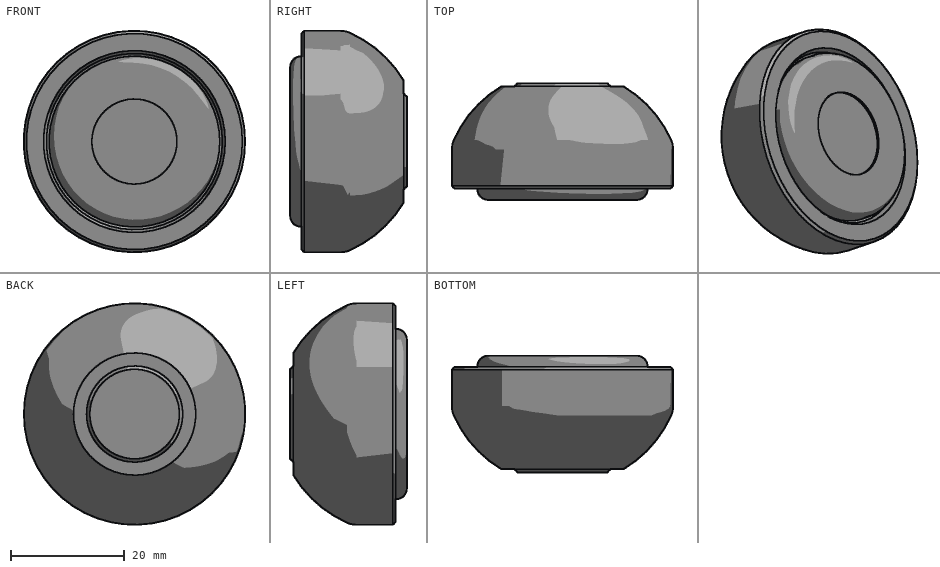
import cadquery as cq
import math


housing_radius = 19.5
housing_depth = 18.0
dome_radius = 21.0
shoulder_radius = 4.0
rim_chamfer = 0.5

pad_radius = 15.0
pad_protrusion = 2.0
pad_edge_radius = 2.0
dimple_radius = 7.5
dimple_depth = 0.4

recess_mouth_radius = 16.0
recess_taper = 0.5
recess_corner_radius = 0.45
recess_depth = 1.5

cap_radius = 8.45
cap_height = 0.6
cap_chamfer = 0.6


def revolve_profile(profile):
    """Turn a closed (radius, Y) profile a full circle about the Y axis."""
    return profile.close().revolve(360, (0, 0, 0), (0, 1, 0))


def make_housing():
    shoulder_centre_x = housing_radius - shoulder_radius
    centre_distance = dome_radius - shoulder_radius
    shoulder_angle = math.acos(shoulder_centre_x / centre_distance)
    shoulder_centre_y = centre_distance * math.sin(shoulder_angle)

    def shoulder_point(angle):
        return (
            shoulder_centre_x + shoulder_radius * math.cos(angle),
            shoulder_centre_y + shoulder_radius * math.sin(angle),
        )

    def dome_point(angle):
        return (dome_radius * math.cos(angle), dome_radius * math.sin(angle))

    flat_angle = math.asin(housing_depth / dome_radius)
    recess_wall_radius = recess_mouth_radius - recess_taper
    corner_start_radius = recess_wall_radius - recess_corner_radius
    corner_mid_offset = recess_corner_radius * (1 - math.sqrt(0.5))

    return revolve_profile(
        cq.Workplane("XY")
        .moveTo(0, recess_depth)
        .lineTo(corner_start_radius, recess_depth)
        .threePointArc(
            (recess_wall_radius - corner_mid_offset, recess_depth - corner_mid_offset),
            (recess_wall_radius, recess_depth - recess_corner_radius),
        )
        .lineTo(recess_mouth_radius, 0)
        .lineTo(housing_radius - rim_chamfer, 0)
        .lineTo(housing_radius, rim_chamfer)
        .lineTo(*shoulder_point(0))
        .threePointArc(shoulder_point(shoulder_angle / 2), shoulder_point(shoulder_angle))
        .threePointArc(dome_point((shoulder_angle + flat_angle) / 2), dome_point(flat_angle))
        .lineTo(0, housing_depth)
    )


def make_pad():
    body = (
        cq.Workplane("XZ", origin=(0, recess_depth, 0))
        .circle(pad_radius)
        .extrude(recess_depth + pad_protrusion)
        .faces("<Y")
        .edges()
        .fillet(pad_edge_radius)
    )
    dimple = (
        cq.Workplane("XZ", origin=(0, dimple_depth - pad_protrusion, 0))
        .circle(dimple_radius)
        .extrude(dimple_depth)
    )
    return body.cut(dimple)


def make_cap():
    return revolve_profile(
        cq.Workplane("XY")
        .moveTo(0, housing_depth)
        .lineTo(cap_radius, housing_depth)
        .lineTo(cap_radius - cap_chamfer, housing_depth + cap_height)
        .lineTo(0, housing_depth + cap_height)
    )


housing = make_housing()
pad = make_pad()
cap = make_cap()

result = cq.Compound.makeCompound([housing.val(), pad.val(), cap.val()])